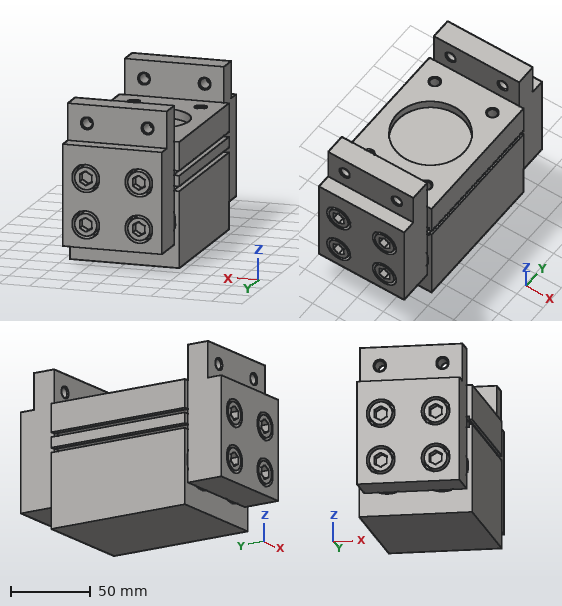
import cadquery as cq
import math

TOTAL_LENGTH = 150.0
TOTAL_HEIGHT = 105.0

HOUSING_WIDTH = 72.0
HOUSING_LENGTH = 100.0
HOUSING_HEIGHT = 81.8
TOP_RECESS_DIAMETER = 52.0
TOP_RECESS_DEPTH = 6.0
TOP_HOLE_X = 22.0
TOP_HOLE_Y = 36.0
TOP_HOLE_DEPTH = 15.0
BORE_DIAMETER = 32.0
BORE_DEPTH = 1.5

HOLE_DIAMETER = 6.6
HOLE_CHAMFER = 0.8
CHAMFER_ANGLE = 45.0
DRILL_POINT_ANGLE = 118.0

SENSOR_SLOT_WIDTH = 3.2
SENSOR_CHANNEL_DIAMETER = 5.0
SENSOR_CHANNEL_DEPTH = 6.0
SENSOR_SLOT_HEIGHTS = (51.5, 61.5)

T_SLOT_Z = 58.0
T_SLOT_MOUTH = 3.0
T_SLOT_LIP = 2.0
T_SLOT_WIDTH = 6.9
T_SLOT_DEPTH = 5.0

JAW_WIDTH = 65.2
JAW_BOTTOM = 15.0
FINGER_THICKNESS = 15.0
FINGER_HEIGHT = 24.0
FINGER_HOLE_X = 20.0
FINGER_HOLE_DROP = 12.0

SCREW_SPACING = 35.0
LOWER_SCREW_Z = 30.0
UPPER_SCREW_Z = 60.0
COUNTERBORE_DIAMETER = 18.0
SCREW_HEAD_DIAMETER = 14.5
SCREW_HEAD_HEIGHT = 10.0
SOCKET_ACROSS_FLATS = 8.0
SOCKET_DEPTH = 5.5
SOCKET_TURN = 30.0

HALF_HOUSING_WIDTH = HOUSING_WIDTH / 2
HALF_HOUSING_LENGTH = HOUSING_LENGTH / 2
HALF_TOTAL_LENGTH = TOTAL_LENGTH / 2
SCREW_X = SCREW_SPACING / 2


def make_sensor_slot(z):
    """Full-length cutter for one sensor slot at height z."""
    channel_x = -HALF_HOUSING_WIDTH + SENSOR_CHANNEL_DEPTH
    neck = cq.Workplane("XY").box(SENSOR_CHANNEL_DEPTH, HOUSING_LENGTH, SENSOR_SLOT_WIDTH)
    neck = neck.translate((channel_x - SENSOR_CHANNEL_DEPTH / 2, 0, z))
    channel = (
        cq.Workplane("XZ")
        .center(channel_x, z)
        .circle(SENSOR_CHANNEL_DIAMETER / 2)
        .extrude(HALF_HOUSING_LENGTH, both=True)
    )
    return neck.union(channel)


def make_t_slot():
    """Full-length cutter for the T-slot."""
    mouth = cq.Workplane("XY").box(T_SLOT_DEPTH, HOUSING_LENGTH, T_SLOT_MOUTH)
    mouth = mouth.translate((HALF_HOUSING_WIDTH - T_SLOT_DEPTH / 2, 0, T_SLOT_Z))
    head_depth = T_SLOT_DEPTH - T_SLOT_LIP
    head = cq.Workplane("XY").box(head_depth, HOUSING_LENGTH, T_SLOT_WIDTH)
    head = head.translate((HALF_HOUSING_WIDTH - T_SLOT_LIP - head_depth / 2, 0, T_SLOT_Z))
    return mouth.union(head)


def make_top_hole():
    """Cutter for a chamfered blind hole with a drill point, its mouth at the origin."""
    radius = HOLE_DIAMETER / 2
    point_length = radius / math.tan(math.radians(DRILL_POINT_ANGLE / 2))
    return (
        cq.Workplane("XZ")
        .moveTo(0, 0)
        .lineTo(radius + HOLE_CHAMFER, 0)
        .lineTo(radius, -HOLE_CHAMFER)
        .lineTo(radius, -TOP_HOLE_DEPTH)
        .lineTo(0, -TOP_HOLE_DEPTH - point_length)
        .close()
        .revolve(360, (0, 0), (0, 1))
    )


def make_housing():
    """Block with its top recess, threaded holes, end bores and side slots."""
    housing = cq.Workplane("XY").box(
        HOUSING_WIDTH, HOUSING_LENGTH, HOUSING_HEIGHT, centered=(True, True, False)
    )
    housing = housing.faces(">Z").workplane().hole(TOP_RECESS_DIAMETER, TOP_RECESS_DEPTH)

    for x in (-TOP_HOLE_X, TOP_HOLE_X):
        for y in (-TOP_HOLE_Y, TOP_HOLE_Y):
            housing = housing.cut(make_top_hole().translate((x, y, HOUSING_HEIGHT)))

    bores = (
        cq.Workplane("XZ", origin=(0, -HALF_HOUSING_LENGTH, 0))
        .pushPoints([(-SCREW_X, LOWER_SCREW_Z), (SCREW_X, LOWER_SCREW_Z)])
        .circle(BORE_DIAMETER / 2)
        .extrude(-BORE_DEPTH)
    )
    housing = housing.cut(bores).cut(bores.mirror("XZ"))

    for z in SENSOR_SLOT_HEIGHTS:
        housing = housing.cut(make_sensor_slot(z))
    return housing.cut(make_t_slot())


def make_finger_hole():
    """Through-hole cutter running from the origin toward -Y, chamfered at both mouths."""
    radius = HOLE_DIAMETER / 2
    hole = cq.Workplane("XZ").circle(radius).extrude(FINGER_THICKNESS)
    inner_mouth = (
        cq.Workplane("XZ")
        .circle(radius + HOLE_CHAMFER)
        .extrude(HOLE_CHAMFER, taper=CHAMFER_ANGLE)
    )
    outer_mouth = inner_mouth.mirror("XZ").translate((0, -FINGER_THICKNESS, 0))
    return hole.union(inner_mouth).union(outer_mouth)


def make_screw_cutter():
    """Cutter for one screw: the gap around its head and the hexagon socket in it."""
    gap = (
        cq.Workplane("XZ")
        .circle(COUNTERBORE_DIAMETER / 2)
        .circle(SCREW_HEAD_DIAMETER / 2)
        .extrude(-SCREW_HEAD_HEIGHT)
    )
    across_corners = SOCKET_ACROSS_FLATS / math.cos(math.pi / 6)
    socket = (
        cq.Workplane("XZ")
        .polygon(6, across_corners)
        .extrude(-SOCKET_DEPTH)
        .rotate((0, 0, 0), (0, 1, 0), SOCKET_TURN)
    )
    return cq.Workplane(cq.Compound.makeCompound([gap.val(), socket.val()]))


def make_front_jaw():
    """Stepped jaw on the -Y end, with its finger holes and screws."""
    step_z = TOTAL_HEIGHT - FINGER_HEIGHT
    finger_face_y = -HALF_HOUSING_LENGTH - FINGER_THICKNESS
    jaw = (
        cq.Workplane("YZ")
        .moveTo(-HALF_HOUSING_LENGTH, JAW_BOTTOM)
        .lineTo(-HALF_HOUSING_LENGTH, TOTAL_HEIGHT)
        .lineTo(finger_face_y, TOTAL_HEIGHT)
        .lineTo(finger_face_y, step_z)
        .lineTo(-HALF_TOTAL_LENGTH, step_z)
        .lineTo(-HALF_TOTAL_LENGTH, JAW_BOTTOM)
        .close()
        .extrude(JAW_WIDTH / 2, both=True)
    )

    finger_hole_z = TOTAL_HEIGHT - FINGER_HOLE_DROP
    for x in (-FINGER_HOLE_X, FINGER_HOLE_X):
        jaw = jaw.cut(make_finger_hole().translate((x, -HALF_HOUSING_LENGTH, finger_hole_z)))

    for x in (-SCREW_X, SCREW_X):
        for z in (LOWER_SCREW_Z, UPPER_SCREW_Z):
            jaw = jaw.cut(make_screw_cutter().translate((x, -HALF_TOTAL_LENGTH, z)))
    return jaw


housing = make_housing()
front_jaw = make_front_jaw()
rear_jaw = front_jaw.mirror("XZ")

bodies = [housing, front_jaw, rear_jaw]
result = cq.Compound.makeCompound([body.solids().val() for body in bodies])